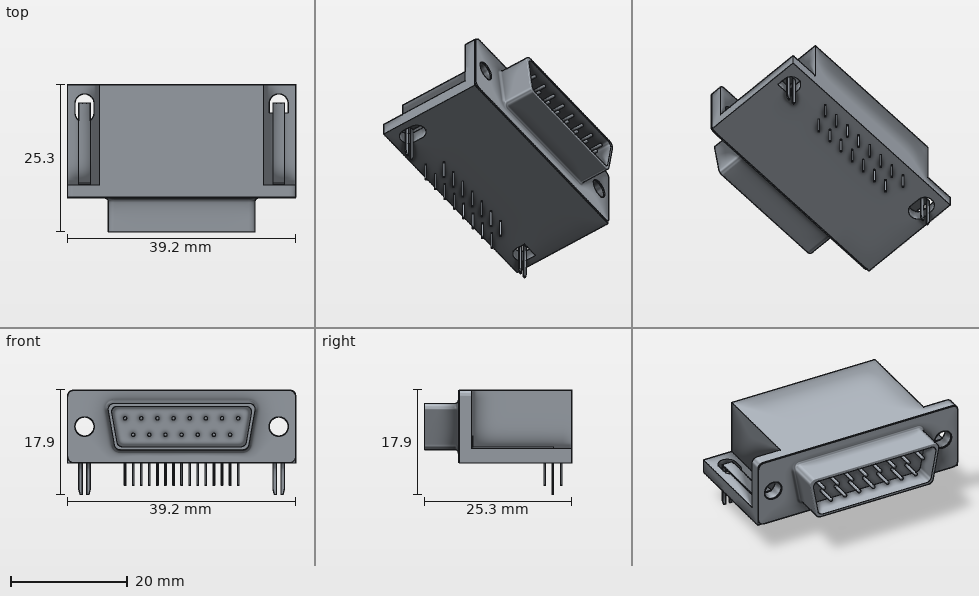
import cadquery as cq
import math


flange_width = 39.2
body_height = 12.5
body_width = 28.1
body_depth = 19.5
flange_depth = 2.27
plate_thickness = 0.25
plate_inset = 0.06
plate_corner = 1.0
ledge_height = 2.5
mid_height = body_height / 2

mount_spacing = 33.32
mount_diameter = 3.2
plate_hole_diameter = 3.37
slot_width = 3.2
slot_rear_center = body_depth - 3.2
slot_front_center = slot_rear_center - 1.65

shell_length = 5.8
shell_width = 25.2
shell_height = 7.95
shell_tilt = math.radians(10)
shell_corner = 1.0
shell_wall = 0.5
cavity_corner = 0.95
cavity_depth = 3.85
shell_root_fillet = 0.6
shell_lip_fillet = 0.098

contact_counts = {1: 8, -1: 7}
upper_row_span = 19.4
contact_pitch = upper_row_span / (contact_counts[1] - 1)
row_spacing = 2.82
pin_diameter = 0.6
pin_tip_fillet = 0.175
pin_recess = 0.27
tail_diameter = 0.3
tail_tip_chamfer = 0.08
tail_length = 3.9
tail_embed = 0.2
tail_rows_mid = body_depth - 3.2

clip_width = 2.0
clip_thickness = 0.25
clip_gap = 0.06
clip_bend_fillet = 0.1
clip_leg_center = body_depth - 3.25
clip_leg_width = 0.63
clip_leg_length = 5.4
clip_tip_inset = 0.25
clip_tip_height = 0.9


def block(x_range, y_range, z_range):
    """Box between the given limits."""
    (x0, x1), (y0, y1), (z0, z1) = x_range, y_range, z_range
    return cq.Workplane("XY").box(x1 - x0, y1 - y0, z1 - z0, centered=False).translate((x0, y0, z0))


def d_prism(inset, corner, y_front, y_rear):
    """D-shaped prism: the shell outline moved inward by inset, with rounded corners."""
    half_height = shell_height / 2 - inset
    top_center_x = shell_width / 2 - shell_corner
    sharp_x = top_center_x + shell_corner * math.tan((math.pi / 2 + shell_tilt) / 2)
    mid_x = sharp_x - shell_height / 2 * math.tan(shell_tilt) - inset / math.cos(shell_tilt)
    lean = half_height * math.tan(shell_tilt)
    corners = [
        (mid_x + lean, half_height),
        (mid_x - lean, -half_height),
        (-mid_x + lean, -half_height),
        (-mid_x - lean, half_height),
    ]
    return (
        cq.Workplane("XZ", origin=(0, y_rear, mid_height))
        .polyline(corners)
        .close()
        .extrude(y_rear - y_front)
        .edges("|Y")
        .fillet(corner)
    )


def make_body():
    """Housing with side ledges, flange and the thin plate on the flange front."""
    half_flange = flange_width / 2
    half_body = body_width / 2
    flange = block((-half_flange, half_flange), (plate_thickness, flange_depth), (0, body_height))
    flange = flange.edges("|Y and >Z").fillet(plate_corner)
    plate = block(
        (plate_inset - half_flange, half_flange - plate_inset),
        (0, plate_thickness),
        (plate_inset, body_height - plate_inset),
    )
    plate = plate.edges("|Y").fillet(plate_corner)
    housing = block((-half_body, half_body), (plate_thickness, body_depth), (0, body_height))
    ledges = block((-half_flange, half_flange), (plate_thickness, body_depth), (0, ledge_height))
    return flange.union(plate).union(housing).union(ledges)


def mount_hole(x):
    """Hole through the flange, slightly wider in the front plate."""
    center = cq.Workplane("XZ", origin=(x, 0, mid_height))
    through = center.circle(mount_diameter / 2).extrude(-flange_depth)
    return through.union(center.circle(plate_hole_diameter / 2).extrude(-plate_thickness))


def ledge_slot(x, round_front):
    """Slot through a ledge: round at the rear, round or square at the front."""
    half = slot_width / 2
    profile = (
        cq.Workplane("XY")
        .moveTo(x + half, slot_front_center)
        .lineTo(x + half, slot_rear_center)
        .threePointArc((x, slot_rear_center + half), (x - half, slot_rear_center))
        .lineTo(x - half, slot_front_center)
    )
    if round_front:
        profile = profile.threePointArc((x, slot_front_center - half), (x + half, slot_front_center))
    return profile.close().extrude(ledge_height)


def add_shell(body):
    """Join the hollow shell to the plate with a filleted root."""
    shell = d_prism(0, shell_corner, -shell_length, 0)
    shell = shell.faces("<Y").edges().fillet(shell_lip_fillet)
    joined = body.union(shell)
    reach = shell_root_fillet / 2
    root_box = cq.selectors.BoxSelector(
        (-shell_width / 2 - reach, -reach, mid_height - shell_height / 2 - reach),
        (shell_width / 2 + reach, reach, mid_height + shell_height / 2 + reach),
    )
    joined = joined.edges(root_box).fillet(shell_root_fillet)
    return joined.cut(d_prism(shell_wall, cavity_corner, -shell_length, cavity_depth - shell_length))


def mating_pin(x, z):
    """Round-tipped pin that stops just short of the shell lip."""
    tip_y = pin_recess - shell_length
    return (
        cq.Workplane("XZ", origin=(x, 0, z))
        .circle(pin_diameter / 2)
        .extrude(-tip_y)
        .faces("<Y")
        .edges()
        .fillet(pin_tip_fillet)
    )


def tail(x, y):
    """Solder tail below the body, with a chamfered tip."""
    return (
        cq.Workplane("XY", origin=(x, y, -tail_length))
        .circle(tail_diameter / 2)
        .extrude(tail_length + tail_embed)
        .faces("<Z")
        .chamfer(tail_tip_chamfer)
    )


def add_contacts(body):
    """Add the two staggered rows of pins and tails."""
    for side, count in contact_counts.items():
        offset = side * row_spacing / 2
        for index in range(count):
            x = (index - (count - 1) / 2) * contact_pitch
            body = body.union(mating_pin(x, mid_height + offset))
            body = body.union(tail(x, tail_rows_mid + offset))
    return body


def board_lock_clip(x):
    """L-shaped strip on the ledge with two taper-tipped legs bent down through the slot."""
    half = clip_width / 2
    across = (x - half, x + half)
    leg_front = clip_leg_center - clip_thickness / 2
    leg_rear = leg_front + clip_thickness
    strip_top = ledge_height + clip_thickness
    upright_front = flange_depth + clip_gap
    strip = block(across, (upright_front, leg_rear), (ledge_height, strip_top))
    upright_top = mid_height - mount_diameter / 2
    upright_rear = upright_front + clip_thickness
    upright = block(across, (upright_front, upright_rear), (ledge_height, upright_top))
    clip = strip.union(upright)
    for side in (-1, 1):
        outer = x + side * half
        inner = outer - side * clip_leg_width
        tip_outer = outer - side * clip_tip_inset
        leg = (
            cq.Workplane("XZ", origin=(0, leg_rear, 0))
            .moveTo(inner, strip_top)
            .lineTo(outer, strip_top)
            .lineTo(outer, clip_tip_height - clip_leg_length)
            .lineTo(tip_outer, -clip_leg_length)
            .lineTo(inner, -clip_leg_length)
            .close()
            .extrude(clip_thickness)
        )
        clip = clip.union(leg)
    bend = clip.edges(cq.selectors.NearestToPointSelector((x, leg_rear, strip_top)))
    return bend.fillet(clip_bend_fillet)


result = add_shell(make_body())
for mount_side in (-1, 1):
    mount_x = mount_side * mount_spacing / 2
    result = result.cut(mount_hole(mount_x))
    result = result.cut(ledge_slot(mount_x, round_front=mount_side < 0))
    result = result.union(board_lock_clip(mount_x))
result = add_contacts(result)